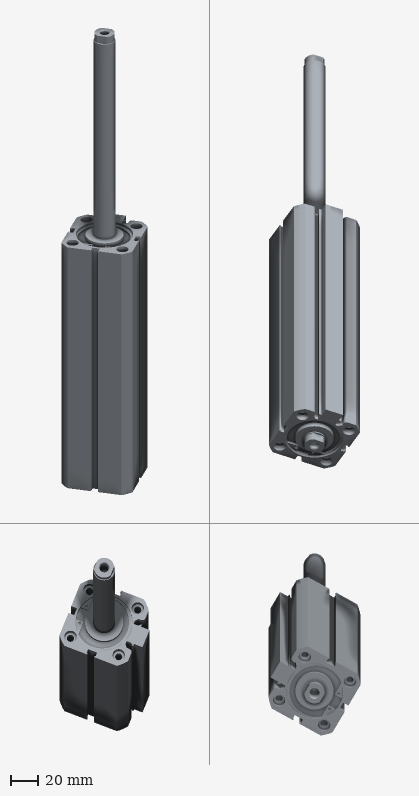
import cadquery as cq
import math

WIDTH = 54.0
HALF = WIDTH / 2
LENGTH = 199.0
CORNER_START = 20.7
CORNER_RADIUS = math.hypot(HALF, CORNER_START)
BORE_DIA = 42.0

RIDGE_WIDTH = 14.0
RIDGE_TOP = 33.0
GROOVE_FLOOR = 20.5
GROOVE_OUTER_X = 11.7
GROOVE_FLOOR_X = 9.5
GROOVE_KNEE = 22.5
GROOVE_EDGE_RADIUS = 2.5
LIP_WIDTH = 2.0
LIP_TOP = 26.3
LIP_BOTTOM = 24.0

SLOT_OPENING = 5.5
SIDE_SLOT_DEPTH = 4.0
SIDE_SLOT_WIDTH = 7.0
SIDE_SLOT_LIP = 1.0
FRONT_SLOT_DEPTH = 4.5

HOLE_SPACING = 38.0
HOLE_DIA = 5.2
COUNTERBORE_DIA = 9.0
COUNTERBORE_DEPTH = 5.0

ROD_DIA = 16.0
ROD_TOP_STICKOUT = 167.0
ROD_BOTTOM_STICKOUT = 7.0
NECK_DIA = 15.0
NECK_LENGTH = 6.0
FLATS_WIDTH = 13.0
THREAD_DIA = 6.6
COUNTERSINK_DIA = 8.0
THREAD_DEPTH = 20.0
COUNTERSINK_DEPTH = (COUNTERSINK_DIA - THREAD_DIA) / 2
DRILL_TIP_ANGLE = 118.0
DRILL_TIP_DEPTH = THREAD_DIA / 2 / math.tan(math.radians(DRILL_TIP_ANGLE / 2))

CAP_BOSS_DIA = 28.0
CAP_BOSS_HEIGHT = 3.5
CAP_FLANGE_THICKNESS = 12.0

RING_THICKNESS = 1.75
RING_INNER_RADIUS = 19.6
RING_INNER_OFFSET = -1.5
RING_GAP = 9.5
EAR_TOP = -14.3
EAR_OUTER_X = 15.0
EAR_HOLE_X = 6.7
EAR_HOLE_Y = -16.5
EAR_HOLE_DIA = 2.0


def block(x_min, x_max, y_min, y_max, height=LENGTH):
    """Box standing on Z = 0 between the given X and Y limits."""
    box = cq.Workplane("XY").box(x_max - x_min, y_max - y_min, height, centered=False)
    return box.translate((x_min, y_min, 0))


def mirrored_in_z(body):
    """The same body at the opposite end of the housing."""
    return body.mirror("XY", (0, 0, LENGTH / 2))


def ridge_groove():
    """Groove on the +X side of the ridge, undercut below a lip on the ridge wall."""
    ridge_x = RIDGE_WIDTH / 2
    groove = (
        cq.Workplane("XY")
        .moveTo(ridge_x, HALF)
        .lineTo(ridge_x, GROOVE_FLOOR)
        .lineTo(GROOVE_FLOOR_X, GROOVE_FLOOR)
        .lineTo(GROOVE_OUTER_X, GROOVE_KNEE)
        .lineTo(GROOVE_OUTER_X, HALF - GROOVE_EDGE_RADIUS)
        .radiusArc((GROOVE_OUTER_X + GROOVE_EDGE_RADIUS, HALF), GROOVE_EDGE_RADIUS)
        .close()
        .extrude(LENGTH)
    )
    lip = (
        cq.Workplane("XY")
        .polyline([(ridge_x, LIP_BOTTOM), (ridge_x + LIP_WIDTH, LIP_TOP), (ridge_x, LIP_TOP)])
        .close()
        .extrude(LENGTH)
    )
    return groove.cut(lip)


def side_slot():
    """T-slot in the +X side."""
    opening = block(HALF - SIDE_SLOT_DEPTH, HALF, -SLOT_OPENING / 2, SLOT_OPENING / 2)
    undercut = block(
        HALF - SIDE_SLOT_DEPTH, HALF - SIDE_SLOT_LIP, -SIDE_SLOT_WIDTH / 2, SIDE_SLOT_WIDTH / 2
    )
    return opening.union(undercut)


def make_housing():
    rounding = cq.Workplane("XY").circle(CORNER_RADIUS).extrude(LENGTH)
    body = block(-HALF, HALF, -HALF, HALF).intersect(rounding)
    body = body.union(block(-RIDGE_WIDTH / 2, RIDGE_WIDTH / 2, 0, RIDGE_TOP))
    for cutter in (ridge_groove(), side_slot()):
        body = body.cut(cutter).cut(cutter.mirror("YZ"))
    body = body.cut(block(-SLOT_OPENING / 2, SLOT_OPENING / 2, -HALF, FRONT_SLOT_DEPTH - HALF))
    body = body.cut(cq.Workplane("XY").circle(BORE_DIA / 2).extrude(LENGTH))
    holes = cq.Workplane("XY").rect(HOLE_SPACING, HOLE_SPACING, forConstruction=True).vertices()
    counterbores = holes.circle(COUNTERBORE_DIA / 2).extrude(COUNTERBORE_DEPTH)
    body = body.cut(holes.circle(HOLE_DIA / 2).extrude(LENGTH))
    return body.cut(counterbores).cut(mirrored_in_z(counterbores))


def make_rod():
    bottom = -ROD_BOTTOM_STICKOUT
    top = LENGTH + ROD_TOP_STICKOUT
    half_profile = [
        (0, bottom + THREAD_DEPTH + DRILL_TIP_DEPTH),
        (THREAD_DIA / 2, bottom + THREAD_DEPTH),
        (THREAD_DIA / 2, bottom + COUNTERSINK_DEPTH),
        (COUNTERSINK_DIA / 2, bottom),
        (NECK_DIA / 2, bottom),
        (NECK_DIA / 2, bottom + NECK_LENGTH),
        (ROD_DIA / 2, bottom + NECK_LENGTH),
        (ROD_DIA / 2, top - NECK_LENGTH),
        (NECK_DIA / 2, top - NECK_LENGTH),
        (NECK_DIA / 2, top),
        (COUNTERSINK_DIA / 2, top),
        (THREAD_DIA / 2, top - COUNTERSINK_DEPTH),
        (THREAD_DIA / 2, top - THREAD_DEPTH),
        (0, top - THREAD_DEPTH - DRILL_TIP_DEPTH),
    ]
    rod = cq.Workplane("YZ").polyline(half_profile).close().revolve(360, (0, 0), (0, 1))
    for end_z in (bottom, top - NECK_LENGTH):
        for y_min, y_max in ((-ROD_DIA, -FLATS_WIDTH / 2), (FLATS_WIDTH / 2, ROD_DIA)):
            flat = block(-ROD_DIA, ROD_DIA, y_min, y_max, NECK_LENGTH)
            rod = rod.cut(flat.translate((0, 0, end_z)))
    return rod


def make_cap():
    """Bearing cap in the top end: a flange filling the bore and a boss flush with the housing."""
    flange_top = LENGTH - CAP_BOSS_HEIGHT
    return (
        cq.Workplane("XY", origin=(0, 0, flange_top - CAP_FLANGE_THICKNESS))
        .circle(BORE_DIA / 2)
        .extrude(CAP_FLANGE_THICKNESS)
        .faces(">Z")
        .workplane()
        .circle(CAP_BOSS_DIA / 2)
        .extrude(CAP_BOSS_HEIGHT)
        .faces(">Z")
        .workplane()
        .hole(ROD_DIA)
    )


def make_retaining_ring():
    """Ring resting on the top cap's flange, tapering towards two ears with plier holes."""
    disc = cq.Workplane("XY").circle(BORE_DIA / 2).extrude(RING_THICKNESS)
    opening = (
        cq.Workplane("XY").center(0, RING_INNER_OFFSET).circle(RING_INNER_RADIUS).extrude(RING_THICKNESS)
    )
    ears = block(-EAR_OUTER_X, EAR_OUTER_X, -BORE_DIA / 2, EAR_TOP, RING_THICKNESS)
    gap = block(-RING_GAP / 2, RING_GAP / 2, -BORE_DIA / 2, 0, RING_THICKNESS)
    ear_holes = (
        cq.Workplane("XY")
        .pushPoints([(-EAR_HOLE_X, EAR_HOLE_Y), (EAR_HOLE_X, EAR_HOLE_Y)])
        .circle(EAR_HOLE_DIA / 2)
        .extrude(RING_THICKNESS)
    )
    ring = disc.cut(opening.cut(ears)).cut(gap).cut(ear_holes)
    return ring.translate((0, 0, LENGTH - CAP_BOSS_HEIGHT))


housing = make_housing()
rod = make_rod()
top_cap = make_cap()
bottom_cap = mirrored_in_z(top_cap)
top_ring = make_retaining_ring()
bottom_ring = mirrored_in_z(top_ring)

result = cq.Compound.makeCompound(
    [
        housing.val(),
        rod.val(),
        top_cap.val(),
        bottom_cap.val(),
        top_ring.val(),
        bottom_ring.val(),
    ]
)